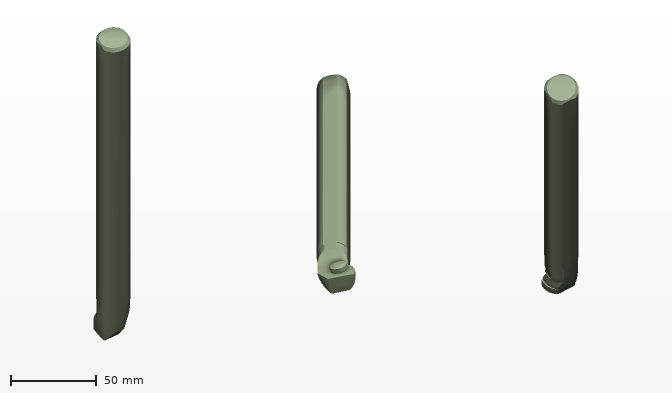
import cadquery as cq


length = 251.3
shank_radius = 10.0
neck_radius = 9.67
neck_top = 30.2
flat_y = 9.0
flat_x = 8.8
top_chamfer = 1.8

foot_z = 0.5
foot_back_z = 1.5
tip_x = -12.5
head_axis_x = -2.3
head_radius = head_axis_x - tip_x
band_radius = 11.5
step_z = 7.5
band_top = 10.5
cone_top = 13.3

face_y = 1.3
face_top = 10.0
runout_middle = (4.3, 17.8)
runout_top = 23.9

relief_foot_x = 3.3
relief_top_z = 12.0

insert_thickness = 1.5
tip_offset = 0.8
tip_corner_z = 2.3
insert_heel = (-3.8, 0.8)
insert_peak = (-6.3, 7.5)

screw_x = -3.5
screw_z = 9.8
head_size = 5.0
dome_radius = 2.5
head_height = 3.8
dome_height = 0.8
stem_radius = 2.0
stem_length = 6.3


def box(x_min, x_max, y_min, y_max, z_min, z_max):
    """Box given by its limits."""
    size = (x_max - x_min, y_max - y_min, z_max - z_min)
    return cq.Workplane("XY").box(*size, centered=False).translate((x_min, y_min, z_min))


def rod_along_y(radius, y_start, y_end):
    """Cylinder on the screw axis."""
    return (
        cq.Workplane("XZ", origin=(screw_x, y_start, screw_z))
        .circle(radius)
        .extrude(y_start - y_end)
    )


def make_shank():
    """Round bar with a slimmer neck and flats on three sides."""
    neck = cq.Workplane("XY").workplane(offset=foot_z).circle(neck_radius).extrude(neck_top - foot_z)
    bar = cq.Workplane("XY").workplane(offset=neck_top).circle(shank_radius).extrude(length - neck_top)
    bar = bar.faces(">Z").chamfer(top_chamfer)
    envelope = box(-flat_x, shank_radius, -flat_y, flat_y, 0, length)
    return bar.union(neck).intersect(envelope)


def make_head_bulge():
    """Round base with a band and cone above it, limited by the cutting face."""
    base = cq.Workplane("XY", origin=(head_axis_x, 0, foot_z)).circle(head_radius).extrude(step_z - foot_z)
    profile = [
        (0, step_z),
        (band_radius, step_z),
        (band_radius, band_top),
        (neck_radius, cone_top),
        (0, cone_top),
    ]
    crown = cq.Workplane("XZ").polyline(profile).close().revolve(360, (0, 0), (0, 1))
    return base.union(crown).intersect(box(tip_x, 0, -flat_y, face_y, 0, cone_top))


def make_face_cut():
    """Material removed behind the cutting face, with a curved run-out."""
    outer_y = shank_radius + 2.5
    return (
        cq.Workplane("YZ", origin=(tip_x, 0, 0))
        .moveTo(face_y, 0)
        .lineTo(face_y, face_top)
        .threePointArc(runout_middle, (flat_y, runout_top))
        .lineTo(outer_y, runout_top)
        .lineTo(outer_y, 0)
        .close()
        .extrude(shank_radius - tip_x)
    )


def make_relief_cut():
    """Wedge removed from the foot on the +X side."""
    corners = [(relief_foot_x, foot_z), (shank_radius, relief_top_z), (shank_radius, foot_z)]
    return cq.Workplane("XZ").polyline(corners).close().extrude(shank_radius, both=True)


def make_clearance_cut():
    """Wedge removed under the foot so that it rises away from the cutting face."""
    corners = [(face_y, foot_z), (-flat_y, foot_back_z), (-flat_y, foot_z)]
    return (
        cq.Workplane("YZ", origin=(tip_x, 0, 0))
        .polyline(corners)
        .close()
        .extrude(shank_radius - tip_x)
    )


def make_insert():
    """Flat insert whose cutting face is flush with the holder face."""
    outline = [
        (tip_x, tip_corner_z),
        (tip_x + tip_offset, 0),
        insert_heel,
        insert_peak,
    ]
    plate = cq.Workplane("XZ", origin=(0, face_y, 0)).polyline(outline).close()
    return plate.extrude(insert_thickness)


def make_screw():
    """Screw with a bevelled head resting on the cutting face."""
    head = rod_along_y(head_size, face_y, face_y + head_height)
    head = head.faces(">Y").chamfer(dome_height, head_size - dome_radius)
    return head.union(rod_along_y(stem_radius, face_y, face_y - stem_length))


insert = make_insert()
screw = make_screw()
screw_pocket = rod_along_y(head_size, face_y, flat_y)

holder = make_shank().union(make_head_bulge())
holder = holder.cut(make_face_cut()).cut(make_relief_cut()).cut(make_clearance_cut())
holder = holder.cut(screw_pocket).cut(insert).cut(screw)

result = cq.Compound.makeCompound([holder.val(), insert.val(), screw.val()])